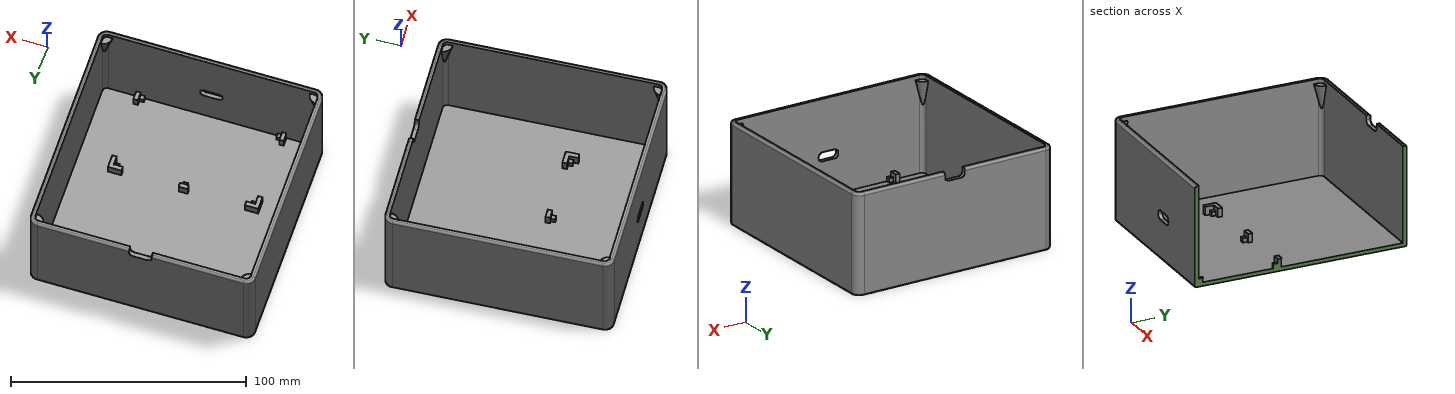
import cadquery as cq

side = 100.0
height = 47.0
wall = 2.0
floor = 2.0
corner_radius = 4.0
edge_fillet = 1.0
inner_side = side - 2 * wall
inner_radius = corner_radius - wall
inner_face = inner_side / 2

opening_width = 10.0
opening_radius = 2.0
slot_height = 4.2
slot_center_z = 20.4
notch_depth = 4.0

boss_radius = 4.0
boss_tip_radius = 0.5
boss_height = 13.0
boss_drop = 2.0

board_width = 63.0
board_back_y = -11.0
clip_thickness = 2.0
clip_length = 6.0
clip_height = 4.0
step_size = 2.0
step_height = 2.0
stop_width = 4.0


def rounded_square(width, radius, bottom_z, top_z):
    """Centered square prism with rounded upright edges."""
    return (
        cq.Workplane("XY", origin=(0, 0, bottom_z))
        .rect(width, width)
        .extrude(top_z - bottom_z)
        .edges("|Z")
        .fillet(radius)
    )


def floor_block(x_min, x_max, y_min, y_max, rise):
    """Block standing on the floor, sunk halfway into it so that the two fuse cleanly."""
    sink = floor / 2
    return (
        cq.Workplane("XY", origin=(x_min, y_min, floor - sink))
        .box(x_max - x_min, y_max - y_min, rise + sink, centered=False)
    )


def make_shell():
    """Open-topped box with its outer top and bottom edges rounded."""
    outer = rounded_square(side, corner_radius, 0, height)
    outer = outer.faces("<Z or >Z").edges().fillet(edge_fillet)
    cavity = rounded_square(inner_side, inner_radius, floor, height)
    return outer.cut(cavity)


def make_front_slot():
    """Rounded slot through the front wall."""
    return (
        cq.Workplane("XY", origin=(0, -inner_face - wall / 2, slot_center_z))
        .box(opening_width, 2 * wall, slot_height)
        .edges("|Y")
        .fillet(opening_radius)
    )


def make_back_notch():
    """Notch in the rim of the back wall, open at the top, with rounded lower corners."""
    return (
        cq.Workplane("XY", origin=(0, inner_face + wall / 2, height - notch_depth))
        .box(opening_width, 2 * wall, 2 * notch_depth, centered=(True, True, False))
        .edges("|Y and <Z")
        .fillet(opening_radius)
    )


def make_corner_bosses():
    """Cones centered on the cavity corners, narrowing downward, trimmed to stay inside the walls."""
    top_z = height - boss_drop
    cone = cq.Solid.makeCone(boss_tip_radius, boss_radius, boss_height)
    cones = (
        cq.Workplane("XY", origin=(0, 0, top_z - boss_height))
        .rect(inner_side, inner_side, forConstruction=True)
        .vertices()
        .eachpoint(lambda place: cone.moved(place))
    )
    mid_wall = rounded_square(inner_side + wall, inner_radius + wall / 2, 0, height)
    return cones.intersect(mid_wall)


def make_board_clips():
    """Clips at the board's four corners, each with a low step that carries the board."""
    board_edge = board_width / 2
    clip_outer = board_edge + clip_thickness
    step_inner = board_edge - step_size
    clip_back = board_back_y + clip_thickness

    side_leg = floor_block(board_edge, clip_outer, clip_back - clip_length, clip_back, clip_height)
    back_leg = floor_block(clip_outer - clip_length, clip_outer, board_back_y, clip_back, clip_height)
    back_step = floor_block(step_inner, board_edge, board_back_y - step_size, board_back_y, step_height)

    root_y = -inner_face - wall / 2
    front_end = -inner_face + clip_length - clip_thickness
    front_leg = floor_block(board_edge, clip_outer, root_y, front_end, clip_height)
    front_step = floor_block(step_inner, board_edge, root_y, -inner_face + step_size, step_height)

    right_clips = side_leg.union(back_leg).union(back_step).union(front_leg).union(front_step)
    return right_clips.union(right_clips.mirror("YZ"))


def make_middle_stop():
    """Stop at the middle of the board's back edge, with its carrying step."""
    half_stop = stop_width / 2
    half_step = step_size / 2
    stop = floor_block(-half_stop, half_stop, board_back_y, board_back_y + clip_thickness, clip_height)
    step = floor_block(-half_step, half_step, board_back_y - step_size, board_back_y, step_height)
    return stop.union(step)


result = (
    make_shell()
    .union(make_corner_bosses())
    .union(make_board_clips())
    .union(make_middle_stop())
    .cut(make_front_slot())
    .cut(make_back_notch())
)